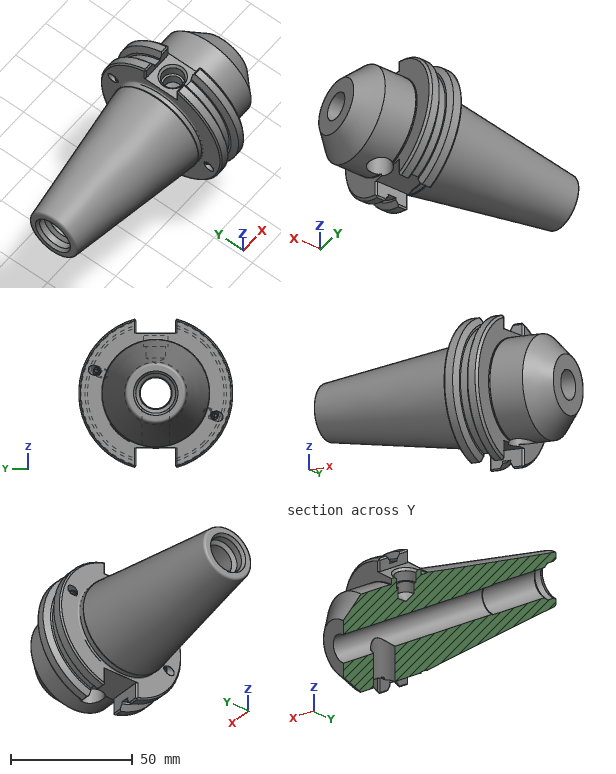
import cadquery as cq
import math


LENGTH = 112.7
GAUGE_DIAMETER = 44.4
TAPER_RATE = 7 / 24
TAPER_END = 68.2
TAPER_LIP = 0.5
SHANK_END_FILLET = 1.1
NECK_DIAMETER = 44.0
NECK_FILLET = 0.7
FRONT_NECK_LENGTH = 0.7
NOSE_DIAMETER = 25.7

FLANGE_START = 71.5
FLANGE_WIDTH = 15.9
FLANGE_DIAMETER = 63.5
REAR_CHAMFER = 0.7
FRONT_CHAMFER = 1.0
GROOVE_DIAMETER = 56.2
GROOVE_FLOOR_WIDTH = 3.7
GROOVE_MOUTH_WIDTH = 7.1
GROOVE_BEVEL_DEPTH = 2.6

SLOT_WIDTH = 16.2
SLOT_CHAMFER = 0.7
TOP_SLOT_HEIGHT = 24.7
BOTTOM_SLOT_HEIGHT = 22.4

BORE_DIAMETER = 12.7
THREAD_DIAMETER = 13.4
THREAD_END = 33.8
PILOT_DIAMETER = 16.5
PILOT_MOUTH_DIAMETER = 18.3
PILOT_MOUTH_DEPTH = 1.6
PILOT_END = 4.6

TOP_HOLE_MOUTH_DIAMETER = 12.1
TOP_HOLE_DIAMETER = 10.0
TOP_HOLE_DEPTH = 5.4
DRILL_DIAMETER = 8.0
DRILL_DEPTH = 10.1
DRILL_TIP_ANGLE = 120.0

CLAMP_HOLE_DIAMETER = 11.2
CLAMP_HOLE_POSITION = 91.0

PLUG_DIAMETER = 4.1
PLUG_END_DIAMETER = 3.3
PLUG_LENGTH = 5.6
PLUG_RECESS = 1.6
PLUG_TILT = 37.0
PLUG_CIRCLE_RADIUS = 26.9
PLUG_ANGLES = (20.5, 200.5)
SOCKET_ACROSS_FLATS = 2.0
SOCKET_DEPTH = 1.7

GAUGE_RADIUS = GAUGE_DIAMETER / 2
NECK_RADIUS = NECK_DIAMETER / 2
NOSE_RADIUS = NOSE_DIAMETER / 2
FLANGE_RADIUS = FLANGE_DIAMETER / 2
FLANGE_END = FLANGE_START + FLANGE_WIDTH
FLANGE_MIDDLE = FLANGE_START + FLANGE_WIDTH / 2
SHANK_END_RADIUS = GAUGE_RADIUS - TAPER_END * TAPER_RATE / 2


def revolved(points):
    """Solid of revolution about X from (x, radius) points."""
    return cq.Workplane("XY").polyline(points).close().revolve(360, (0, 0, 0), (1, 0, 0))


def make_shank():
    shank = revolved([
        (0, 0),
        (0, SHANK_END_RADIUS),
        (TAPER_END, GAUGE_RADIUS),
        (TAPER_END + TAPER_LIP, NECK_RADIUS),
        (FLANGE_START, NECK_RADIUS),
        (FLANGE_START, 0),
    ])
    return shank.faces("<X").edges().fillet(SHANK_END_FILLET)


def make_neck_fillet():
    """Ring that rounds the corner between the rear neck and the flange."""
    return (
        cq.Workplane("XY")
        .moveTo(FLANGE_START - NECK_FILLET, NECK_RADIUS)
        .radiusArc((FLANGE_START, NECK_RADIUS + NECK_FILLET), -NECK_FILLET)
        .lineTo(FLANGE_START, NECK_RADIUS - NECK_FILLET)
        .lineTo(FLANGE_START - NECK_FILLET, NECK_RADIUS - NECK_FILLET)
        .close()
        .revolve(360, (0, 0, 0), (1, 0, 0))
    )


def make_flange():
    groove_radius = GROOVE_DIAMETER / 2
    bevel_radius = FLANGE_RADIUS - GROOVE_BEVEL_DEPTH
    half_mouth = GROOVE_MOUTH_WIDTH / 2
    half_floor = GROOVE_FLOOR_WIDTH / 2
    return revolved([
        (FLANGE_START, 0),
        (FLANGE_START, FLANGE_RADIUS - REAR_CHAMFER),
        (FLANGE_START + REAR_CHAMFER, FLANGE_RADIUS),
        (FLANGE_MIDDLE - half_mouth, FLANGE_RADIUS),
        (FLANGE_MIDDLE - half_floor, bevel_radius),
        (FLANGE_MIDDLE - half_floor, groove_radius),
        (FLANGE_MIDDLE + half_floor, groove_radius),
        (FLANGE_MIDDLE + half_floor, bevel_radius),
        (FLANGE_MIDDLE + half_mouth, FLANGE_RADIUS),
        (FLANGE_END - FRONT_CHAMFER, FLANGE_RADIUS),
        (FLANGE_END, FLANGE_RADIUS - FRONT_CHAMFER),
        (FLANGE_END, 0),
    ])


def make_nose():
    nose_bevel = GAUGE_RADIUS - NOSE_RADIUS
    neck_end = FLANGE_END + FRONT_NECK_LENGTH
    return revolved([
        (FLANGE_END, 0),
        (FLANGE_END, NECK_RADIUS),
        (neck_end, NECK_RADIUS),
        (neck_end, GAUGE_RADIUS),
        (LENGTH - nose_bevel, GAUGE_RADIUS),
        (LENGTH, NOSE_RADIUS),
        (LENGTH, 0),
    ])


def make_slot(floor_height, side):
    """Drive slot cutter above (side = 1) or below (side = -1) the axis, wider at both flange faces."""
    half = SLOT_WIDTH / 2
    wide = half + SLOT_CHAMFER
    outline = [
        (FLANGE_START, wide),
        (FLANGE_START + SLOT_CHAMFER, half),
        (FLANGE_END - SLOT_CHAMFER, half),
        (FLANGE_END, wide),
        (FLANGE_END, -wide),
        (FLANGE_END - SLOT_CHAMFER, -half),
        (FLANGE_START + SLOT_CHAMFER, -half),
        (FLANGE_START, -wide),
    ]
    return (
        cq.Workplane("XY")
        .workplane(offset=side * floor_height)
        .polyline(outline)
        .close()
        .extrude(side * FLANGE_RADIUS)
    )


def make_slot_edge_bevel(side, edge):
    """Cutter that bevels one slot edge (edge = 1 or -1 in Y) along the flange rim."""
    half = SLOT_WIDTH / 2
    wide = half + SLOT_CHAMFER
    corner_height = math.sqrt(FLANGE_RADIUS**2 - wide**2)
    outline = [
        (edge * half, side * (corner_height - SLOT_CHAMFER)),
        (edge * wide, side * corner_height),
        (edge * wide, side * FLANGE_RADIUS),
        (edge * half, side * FLANGE_RADIUS),
    ]
    return (
        cq.Workplane("YZ")
        .workplane(offset=FLANGE_START)
        .polyline(outline)
        .close()
        .extrude(FLANGE_WIDTH)
    )


def make_clamp_hole():
    return (
        cq.Workplane("XY", origin=(CLAMP_HOLE_POSITION, 0, 0))
        .circle(CLAMP_HOLE_DIAMETER / 2)
        .extrude(-FLANGE_RADIUS)
    )


def make_bore():
    thread_radius = THREAD_DIAMETER / 2
    pilot_radius = PILOT_DIAMETER / 2
    bore_radius = BORE_DIAMETER / 2
    return revolved([
        (0, 0),
        (0, PILOT_MOUTH_DIAMETER / 2),
        (PILOT_MOUTH_DEPTH, pilot_radius),
        (PILOT_END, pilot_radius),
        (PILOT_END + pilot_radius - thread_radius, thread_radius),
        (THREAD_END, thread_radius),
        (THREAD_END, bore_radius),
        (LENGTH, bore_radius),
        (LENGTH, 0),
    ])


def make_top_hole():
    mouth_radius = TOP_HOLE_MOUTH_DIAMETER / 2
    hole_radius = TOP_HOLE_DIAMETER / 2
    drill_radius = DRILL_DIAMETER / 2
    tip_height = drill_radius / math.tan(math.radians(DRILL_TIP_ANGLE / 2))
    return (
        cq.Workplane("XZ", origin=(FLANGE_MIDDLE, 0, TOP_SLOT_HEIGHT))
        .polyline([
            (0, 0),
            (mouth_radius, 0),
            (hole_radius, hole_radius - mouth_radius),
            (hole_radius, -TOP_HOLE_DEPTH),
            (drill_radius, -TOP_HOLE_DEPTH),
            (drill_radius, -DRILL_DEPTH),
            (0, -DRILL_DEPTH - tip_height),
        ])
        .close()
        .revolve(360, (0, 0, 0), (0, 1, 0))
    )


def plug_plane(angle, depth):
    """Plane across a plug axis, at a depth along it, with its normal pointing into the flange."""
    tilt = math.radians(PLUG_TILT)
    turn = math.radians(angle)
    radius = PLUG_CIRCLE_RADIUS - depth * math.sin(tilt)
    outward = (math.cos(turn), math.sin(turn))
    return cq.Plane(
        origin=(FLANGE_START + depth * math.cos(tilt), radius * outward[0], radius * outward[1]),
        xDir=(0, -outward[1], outward[0]),
        normal=(math.cos(tilt), -math.sin(tilt) * outward[0], -math.sin(tilt) * outward[1]),
    )


def make_plug_hole(angle):
    """Blind hole cutter that starts outside the flange face and ends at the plug's inner end."""
    run_out = PLUG_DIAMETER
    depth = run_out + PLUG_RECESS + PLUG_LENGTH
    return cq.Workplane(plug_plane(angle, -run_out)).circle(PLUG_DIAMETER / 2).extrude(depth)


def make_plug_screw(angle):
    end_bevel = (PLUG_DIAMETER - PLUG_END_DIAMETER) / 2
    socket_corners = SOCKET_ACROSS_FLATS / math.cos(math.radians(30))
    plane = plug_plane(angle, PLUG_RECESS)
    screw = cq.Workplane(plane).circle(PLUG_DIAMETER / 2).extrude(PLUG_LENGTH)
    socket = cq.Workplane(plane).polygon(6, socket_corners).extrude(SOCKET_DEPTH)
    return screw.edges("%CIRCLE").chamfer(end_bevel).cut(socket)


def make_holder():
    body = make_shank().union(make_flange()).union(make_nose()).union(make_neck_fillet())
    body = body.cut(make_slot(TOP_SLOT_HEIGHT, 1)).cut(make_slot(BOTTOM_SLOT_HEIGHT, -1))
    for side in (1, -1):
        for edge in (1, -1):
            body = body.cut(make_slot_edge_bevel(side, edge))
    body = body.cut(make_bore()).cut(make_top_hole()).cut(make_clamp_hole())
    for angle in PLUG_ANGLES:
        body = body.cut(make_plug_hole(angle))
    return body


holder = make_holder()
plug_screws = [make_plug_screw(angle).val() for angle in PLUG_ANGLES]

result = cq.Compound.makeCompound([holder.val(), *plug_screws])